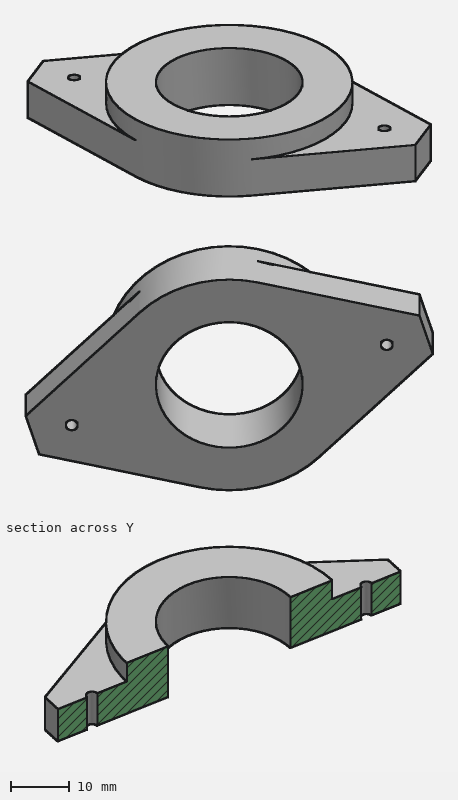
import cadquery as cq
import math

length = 70.0
ring_diameter = 42.0
bore_diameter = 25.0
ring_height = 11.0
flange_height = 7.0
end_width = 8.0
hole_diameter = 2.0
hole_spacing = 56.0

ring_radius = ring_diameter / 2
half_length = length / 2
half_end = end_width / 2
corner_angle = math.atan2(half_end, half_length)
corner_distance = math.hypot(half_length, half_end)
tangent_angle = corner_angle + math.acos(ring_radius / corner_distance)
tangent_x = ring_radius * math.cos(tangent_angle)
tangent_y = ring_radius * math.sin(tangent_angle)


def make_flange():
    """Plate with two tapered ears along X; its middle lies inside the ring."""
    upper_side = [
        (half_length, half_end),
        (tangent_x, tangent_y),
        (-tangent_x, tangent_y),
        (-half_length, half_end),
    ]
    lower_side = [(-x, -y) for x, y in upper_side]
    return cq.Workplane("XY").polyline(upper_side + lower_side).close().extrude(flange_height)


def make_ring():
    """Full-height round body."""
    return cq.Workplane("XY").circle(ring_radius).extrude(ring_height)


def make_bore():
    """Central through bore."""
    return cq.Workplane("XY").circle(bore_diameter / 2).extrude(ring_height)


def make_mounting_holes():
    """One through hole in each ear."""
    centres = [(side * hole_spacing / 2, 0) for side in (-1, 1)]
    return cq.Workplane("XY").pushPoints(centres).circle(hole_diameter / 2).extrude(flange_height)


result = make_ring().union(make_flange()).cut(make_bore()).cut(make_mounting_holes())